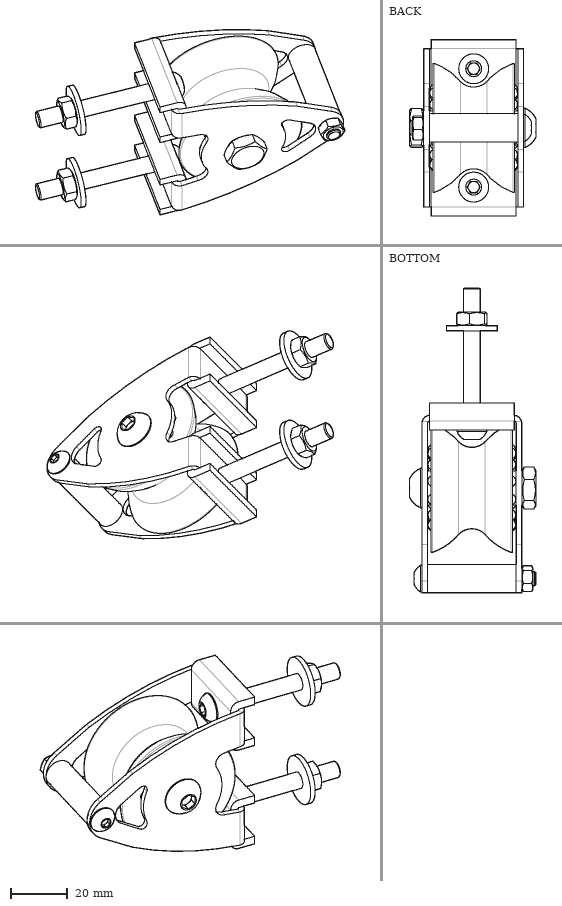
import cadquery as cq
import math


sheet = 2.0
bracket_half_width = 17.6
inner_half_width = bracket_half_width - sheet
flange_y = -25.7
bend_radius = 3.0
bend_start_y = flange_y + bend_radius
flange_inner_y = flange_y + sheet

bolt_z = 20.9
flange_height = 14.1
flange_low_z = bolt_z - flange_height / 2
flange_high_z = bolt_z + flange_height / 2
channel_width = 30.0
channel_wall = 3.2
channel_leg_end_y = -30.0
channel_back_y = flange_inner_y + channel_wall
bolt_diameter = 6.0
bolt_end_y = -70.5
washer_diameter = 18.0
washer_thickness = 1.8
washer_y = -55.4
bolt_nut_height = 4.8
upper_nut_turn = 33.8
lower_nut_turn = 21.0

plate_tip_y = 37.0
plate_tip_radius = 8.9
plate_tip_center = (plate_tip_y - plate_tip_radius, 0)
shoulder = (19.9, 15.6)
long_edge_middle = (-0.5, 23.6)
long_edge_end_y = -23.4

web_radius = 15.6
notch_corner_radius = 3.7
notch_corner_y = -16.8
slot_tip_center = (21.9, 0)
slot_tip_radius = 4.7
slot_corner_radius = 1.9
slot_corner_y = 16.0

roller_half_width = 14.4
roller_radius = 22.9
rim_rounding = 0.4
flank_middle = (8.9, 20.2)
groove_edge = (4.6, 16.3)
groove_radius = 14.4
ball_count = 13
ball_radius = 2.0
ball_circle_radius = 13.4
ball_depth = 1.0
first_ball_angle = -45

sleeve_diameter = 12.0
bore_diameter = 12.1
axle_nut_turn = 6.5
axle_nut_height = 5.0
spacer_y = 31.9
spacer_diameter = 10.0
pin_diameter = 5.0
pin_end_x = 22.6
pin_nut_height = 4.0
pin_nut_turn = -8.0

axle_head = (14.0, 4.4, 6.2, 5.0)
bolt_head = (10.5, 3.3, 5.6, 4.0)
pin_head = (9.5, 2.8, 3.9, 3.0)
head_rim = 0.4
socket_cone_slope = math.radians(30)

axle_nut_width = 13.0
bolt_nut_width = 10.0
pin_nut_width = 8.0
nut_bevel_slope = math.radians(30)
nut_face_ratio = 0.92

thread_chamfer = 0.4


def polar(center, radius, angle):
    """Point on a circle, angle in radians."""
    return (center[0] + radius * math.cos(angle), center[1] + radius * math.sin(angle))


def mirrored(point):
    """The same point on the other side of the Z = 0 plane."""
    return (point[0], -point[1])


def tangent_angle(center_a, radius_a, center_b, radius_b):
    """Normal direction of the line touching both circles on their upper, +Y side."""
    dy = center_b[0] - center_a[0]
    dz = center_b[1] - center_a[1]
    return math.atan2(dz, dy) - math.acos((radius_a - radius_b) / math.hypot(dy, dz))


def hexagon(width):
    """Hexagon sketch in XY, given its width across flats, with a corner on +X."""
    return cq.Workplane("XY").polygon(6, width / math.cos(math.pi / 6))


def button_head(head_diameter, height, flat_diameter, socket_width):
    """Domed socket head standing on Z = 0, with a cone-bottomed hexagonal socket in its top."""
    radius = head_diameter / 2
    flat = flat_diameter / 2
    dome_z = (radius**2 + head_rim**2 - flat**2 - height**2) / (2 * (head_rim - height))
    dome_radius = math.hypot(radius, head_rim - dome_z)
    start_angle = math.atan2(head_rim - dome_z, radius)
    end_angle = math.atan2(height - dome_z, flat)
    dome_middle = polar((0, dome_z), dome_radius, (start_angle + end_angle) / 2)
    head = (
        cq.Workplane("XZ")
        .lineTo(radius, 0)
        .lineTo(radius, head_rim)
        .threePointArc(dome_middle, (flat, height))
        .lineTo(0, height)
        .close()
        .revolve(360, (0, 0, 0), (0, 1, 0))
    )
    socket_depth = socket_width / 2
    cone_depth = socket_width / 2 * math.tan(socket_cone_slope)
    socket_bottom = (
        cq.Workplane("XZ")
        .lineTo(socket_width / 2, 0)
        .lineTo(0, -cone_depth)
        .close()
        .revolve(360, (0, 0, 0), (0, 1, 0))
    )
    socket = hexagon(socket_width).extrude(socket_depth).union(socket_bottom)
    return head.cut(socket.translate((0, 0, height - socket_depth)))


def hex_nut(width, height, turn):
    """Solid hexagonal block on Z = 0 with its corners bevelled at both ends."""
    corner_radius = width / 2 / math.cos(math.pi / 6)
    face_radius = nut_face_ratio * width / 2
    bevel = (corner_radius - face_radius) * math.tan(nut_bevel_slope)
    envelope = (
        cq.Workplane("XZ")
        .polyline([
            (0, 0),
            (face_radius, 0),
            (corner_radius, bevel),
            (corner_radius, height - bevel),
            (face_radius, height),
            (0, height),
        ])
        .close()
        .revolve(360, (0, 0, 0), (0, 1, 0))
    )
    block = hexagon(width).extrude(height).rotate((0, 0, 0), (0, 0, 1), turn)
    return block.intersect(envelope)


def facing_right(shape):
    """Turn a shape built along +Z to +X; its X axis turns to +Y and its Y axis to +Z."""
    return shape.rotate((0, 0, 0), (0, 1, 0), 90).rotate((0, 0, 0), (1, 0, 0), 90)


def facing_left(shape):
    """Turn a shape built along +Z to -X."""
    return shape.rotate((0, 0, 0), (0, 1, 0), -90)


def facing_front(shape):
    """Turn a shape built along +Z to -Y."""
    return shape.rotate((0, 0, 0), (1, 0, 0), 90)


def facing_back(shape):
    """Turn a shape built along +Z to +Y."""
    return shape.rotate((0, 0, 0), (1, 0, 0), -90)


def cross_bar(diameter, y):
    """Round bar along X from one side plate to the other."""
    return (
        cq.Workplane("YZ", origin=(-bracket_half_width, y, 0))
        .circle(diameter / 2)
        .extrude(2 * bracket_half_width)
    )


def across(sketch):
    """Extrude a closed (Y, Z) outline through the whole width of the bracket."""
    return sketch.extrude(bracket_half_width, both=True)


def side_outline():
    """Bracket as seen along X, with the open notch between the two flanges."""
    tip_angle = tangent_angle(plate_tip_center, plate_tip_radius, shoulder, 0)
    tip_tangent = polar(plate_tip_center, plate_tip_radius, tip_angle)

    corner_z = math.sqrt((web_radius + notch_corner_radius)**2 - notch_corner_y**2)
    corner_direction = math.atan2(corner_z, notch_corner_y)
    corner_top = (notch_corner_y, corner_z + notch_corner_radius)
    corner_side = (notch_corner_y + notch_corner_radius, corner_z)
    web_end = polar((0, 0), web_radius, corner_direction)

    flange_top = (long_edge_end_y, flange_high_z)
    flange_bottom = (bend_start_y, flange_low_z)
    return across(
        cq.Workplane("YZ")
        .moveTo(*mirrored(tip_tangent))
        .threePointArc((plate_tip_y, 0), tip_tangent)
        .lineTo(*shoulder)
        .threePointArc(long_edge_middle, flange_top)
        .lineTo(flange_y, flange_high_z)
        .lineTo(flange_y, flange_low_z)
        .lineTo(*flange_bottom)
        .lineTo(*corner_top)
        .threePointArc(corner_side, web_end)
        .threePointArc((-web_radius, 0), mirrored(web_end))
        .threePointArc(mirrored(corner_side), mirrored(corner_top))
        .lineTo(*mirrored(flange_bottom))
        .lineTo(flange_y, -flange_low_z)
        .lineTo(flange_y, -flange_high_z)
        .lineTo(*mirrored(flange_top))
        .threePointArc(mirrored(long_edge_middle), mirrored(shoulder))
        .close()
    )


def rear_slot():
    """Rounded opening between the web around the axle and the rear spacer."""
    corner_z = math.sqrt((web_radius + slot_corner_radius)**2 - slot_corner_y**2)
    corner = (slot_corner_y, corner_z)
    edge_angle = tangent_angle(slot_tip_center, slot_tip_radius, corner, slot_corner_radius)
    tip_tangent = polar(slot_tip_center, slot_tip_radius, edge_angle)
    corner_start = polar(corner, slot_corner_radius, edge_angle)
    corner_direction = math.atan2(corner_z, slot_corner_y)
    corner_middle = polar(corner, slot_corner_radius, (edge_angle + corner_direction + math.pi) / 2)
    web_end = polar((0, 0), web_radius, corner_direction)
    return across(
        cq.Workplane("YZ")
        .moveTo(*mirrored(tip_tangent))
        .threePointArc((slot_tip_center[0] + slot_tip_radius, 0), tip_tangent)
        .lineTo(*corner_start)
        .threePointArc(corner_middle, web_end)
        .threePointArc((web_radius, 0), mirrored(web_end))
        .threePointArc(mirrored(corner_middle), mirrored(corner_start))
        .close()
    )


def bent_sheet():
    """U-shaped sheet, open towards +Y, tall enough for the whole bracket."""
    length = plate_tip_y - flange_y
    middle_y = (plate_tip_y + flange_y) / 2
    outside = (
        cq.Workplane("XY")
        .center(0, middle_y)
        .rect(2 * bracket_half_width, length)
        .extrude(flange_high_z, both=True)
        .edges("|Z and <Y")
        .fillet(bend_radius)
    )
    inside = (
        cq.Workplane("XY")
        .center(0, middle_y + sheet)
        .rect(2 * inner_half_width, length)
        .extrude(flange_high_z, both=True)
        .edges("|Z and <Y")
        .fillet(bend_radius - sheet)
    )
    return outside.cut(inside)


def make_bracket():
    return bent_sheet().intersect(side_outline()).cut(rear_slot())


def make_channel(z):
    """U-channel whose legs hold a bracket flange from above and below."""
    depth = channel_back_y - channel_leg_end_y
    height = flange_height + 2 * channel_wall
    block = (
        cq.Workplane("XY")
        .box(channel_width, depth, height)
        .edges("|X and >Y")
        .fillet(channel_wall)
        .translate((0, channel_back_y - depth / 2, z))
    )
    opening_depth = flange_inner_y - channel_leg_end_y
    opening = cq.Workplane("XY").box(channel_width, opening_depth, flange_height)
    return block.cut(opening.translate((0, flange_inner_y - opening_depth / 2, z)))


def make_mounting_bolt(z, nut_turn):
    """Button-head bolt through channel and flange, with its washer and nut."""
    shank = (
        cq.Workplane("XY")
        .circle(bolt_diameter / 2)
        .extrude(channel_back_y - bolt_end_y)
        .faces(">Z")
        .chamfer(thread_chamfer)
    )
    washer = cq.Workplane("XY").circle(washer_diameter / 2).extrude(washer_thickness)
    nut = hex_nut(bolt_nut_width, bolt_nut_height, nut_turn)
    nut_y = washer_y - washer_thickness
    return (
        facing_front(shank).translate((0, channel_back_y, z))
        .union(facing_back(button_head(*bolt_head)).translate((0, channel_back_y, z)))
        .union(facing_front(washer).translate((0, washer_y, z)))
        .union(facing_front(nut).translate((0, nut_y, z)))
    )


def make_axle():
    """Sleeve the roller turns on, with the bolt head and nut that hold it."""
    nut = hex_nut(axle_nut_width, axle_nut_height, axle_nut_turn)
    return (
        cross_bar(sleeve_diameter, 0)
        .union(facing_left(button_head(*axle_head)).translate((-bracket_half_width, 0, 0)))
        .union(facing_right(nut).translate((bracket_half_width, 0, 0)))
    )


def make_rear_spacer():
    """Spacer bar between the plate tips, with the head, nut and tip of its pin."""
    nut = hex_nut(pin_nut_width, pin_nut_height, pin_nut_turn)
    pin_tip = (
        cq.Workplane("XY")
        .circle(pin_diameter / 2)
        .extrude(pin_end_x - bracket_half_width)
        .faces(">Z")
        .chamfer(thread_chamfer)
    )
    return (
        cross_bar(spacer_diameter, spacer_y)
        .union(facing_left(button_head(*pin_head)).translate((-bracket_half_width, spacer_y, 0)))
        .union(facing_right(nut).translate((bracket_half_width, spacer_y, 0)))
        .union(facing_right(pin_tip).translate((bracket_half_width, spacer_y, 0)))
    )


def make_frame():
    """Bracket with everything fixed to it, as one solid."""
    frame = make_bracket().union(make_axle()).union(make_rear_spacer())
    for z, nut_turn in ((bolt_z, upper_nut_turn), (-bolt_z, lower_nut_turn)):
        frame = frame.union(make_channel(z)).union(make_mounting_bolt(z, nut_turn))
    return frame


def make_roller():
    """Grooved roller with a ring of bearing balls standing out of each side face."""
    roller = (
        cq.Workplane("XY")
        .moveTo(-roller_half_width, 0)
        .lineTo(-roller_half_width, roller_radius)
        .threePointArc((-flank_middle[0], flank_middle[1]), (-groove_edge[0], groove_edge[1]))
        .threePointArc((0, groove_radius), groove_edge)
        .threePointArc(flank_middle, (roller_half_width, roller_radius))
        .lineTo(roller_half_width, 0)
        .close()
        .revolve(360, (0, 0, 0), (1, 0, 0))
        .faces("<X or >X")
        .edges()
        .fillet(rim_rounding)
    )
    bore = cq.Workplane("YZ").circle(bore_diameter / 2).extrude(roller_half_width, both=True)
    roller = roller.cut(bore)
    ball_x = roller_half_width - ball_depth
    for index in range(ball_count):
        angle = math.radians(first_ball_angle + index * 360 / ball_count)
        ball_y, ball_z = polar((0, 0), ball_circle_radius, angle)
        for side in (-1, 1):
            ball = facing_right(cq.Workplane("XY").sphere(ball_radius))
            roller = roller.union(ball.translate((side * ball_x, ball_y, ball_z)))
    return roller


frame = make_frame().solids()
roller = make_roller().solids()

result = cq.Compound.makeCompound([frame.val(), roller.val()])